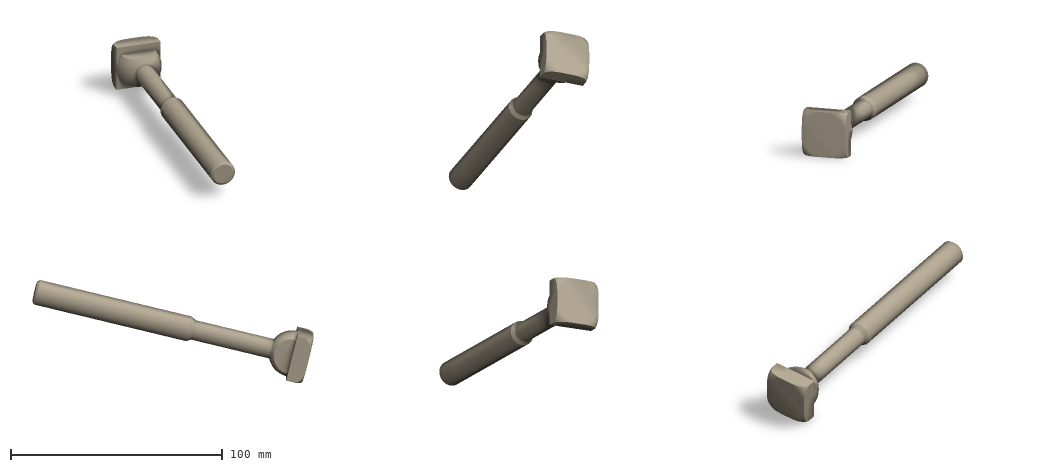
import cadquery as cq
import math

total_length = 133.0
head_width = 22.0
head_thickness = 8.0
boss_height = 14.0
neck_diameter = 9.5
shank_diameter = 12.0
shank_length = 75.0
shoulder_angle = 30.0
end_chamfer = 1.0

head_radius = head_width / 2
corner_radius = head_radius * math.sqrt(2)
corner_rounding = corner_radius - head_radius
neck_radius = neck_diameter / 2
shank_radius = shank_diameter / 2
shank_start = total_length - shank_length
shoulder_length = (shank_radius - neck_radius) / math.tan(math.radians(shoulder_angle))


def square_head():
    """Square plate whose four front corners are rounded over by one revolved arc."""
    plate = cq.Workplane("YZ").rect(head_width, head_width).extrude(head_thickness)
    rounded_disc = (
        cq.Workplane("XY")
        .lineTo(0, head_radius)
        .radiusArc((corner_rounding, corner_radius), corner_rounding)
        .lineTo(head_thickness, corner_radius)
        .lineTo(head_thickness, 0)
        .close()
        .revolve(360, (0, 0, 0), (1, 0, 0))
    )
    return plate.intersect(rounded_disc)


def domed_boss():
    """Half ball behind the head, flattened on its +Z and -Z sides."""
    ball = cq.Workplane("XY").sphere(head_radius).translate((head_thickness, 0, 0))
    slab = (
        cq.Workplane("XY")
        .box(head_radius, head_width, boss_height, centered=(False, True, True))
        .translate((head_thickness, 0, 0))
    )
    return ball.intersect(slab)


def stem():
    """Thin neck, conical shoulder and thicker shank with a chamfered end."""
    return (
        cq.Workplane("XY")
        .moveTo(head_thickness, 0)
        .lineTo(head_thickness, neck_radius)
        .lineTo(shank_start - shoulder_length, neck_radius)
        .lineTo(shank_start, shank_radius)
        .lineTo(total_length - end_chamfer, shank_radius)
        .lineTo(total_length, shank_radius - end_chamfer)
        .lineTo(total_length, 0)
        .close()
        .revolve(360, (0, 0, 0), (1, 0, 0))
    )


result = square_head().union(domed_boss()).union(stem())